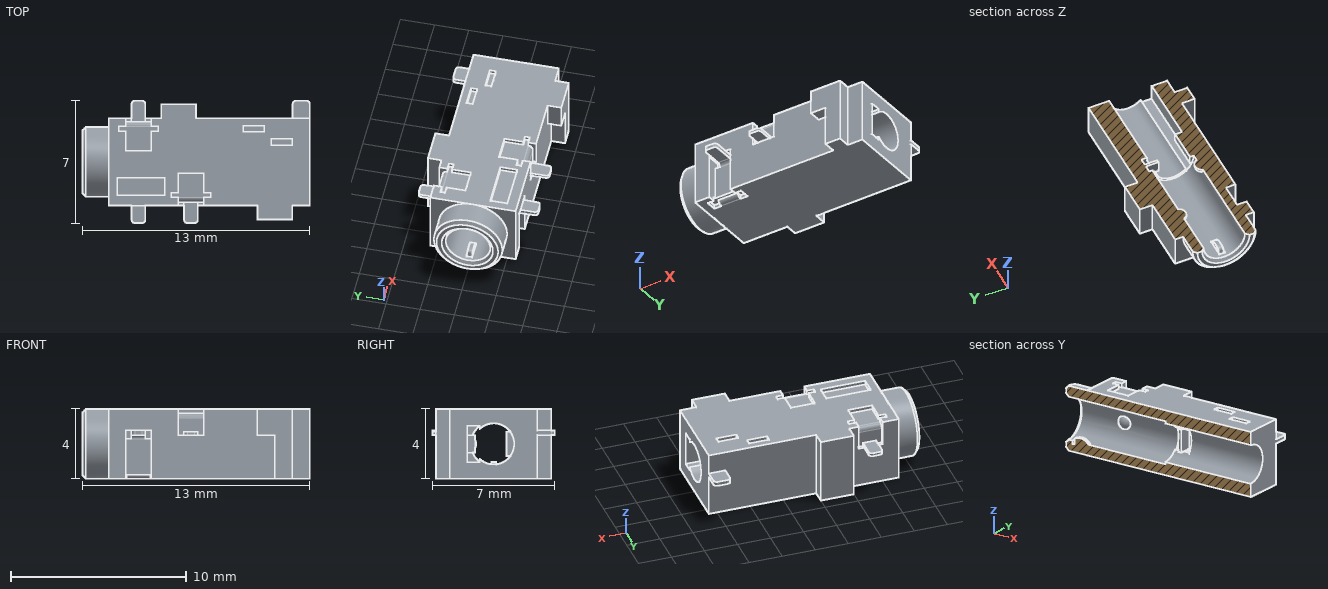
import cadquery as cq


total_length = 13.0
nose_length = 1.5
nose_radius = 2.0
nose_chamfer = 0.2
half_width = 2.5
half_height = 2.0
lug_reach = 3.3
left_lug_start, left_lug_end = 4.5, 6.5
right_lug_start, right_lug_end = 10.0, 12.0
right_lug_step = 1.0
solder_level = 0.5

bore_radius = 1.3
bore_chamfer = 0.2
rear_bore_radius = 1.17
bore_step = 7.0

tab_reach = 3.5
tab_width = 0.8
tab_corner = 0.2
thin_tab = 0.2
thick_tab = 0.27
pocket_width = 1.45
bend_radius = 0.27
sheet_recess = 0.25
upper_plate_y = 2.3
upper_inner_y = 0.65
wing_span = 2.28
front_terminal_x = 3.2
middle_terminal_x = 6.2
lower_plate_y = 1.9
lower_plate_top = 0.3
lower_pocket_y = 1.65
lower_wing_y = 2.03
lower_wing_inner_y = 1.35
foot_width = 1.33
rear_tab_start = 12.0

window = (2.0, -1.9, 2.7, 1.0)
rear_slot_length = 1.2
rear_slot_width = 0.36
rear_slots = [(9.2, 1.71), (10.8, 0.96)]

dome_radius = 0.45
dome_tip_y = 1.0
contact_depth = 1.5
rear_cavity_y = 0.81
rear_cavity_half_height = 1.05
rear_leaf_y = 1.07
rear_leaf_half_height = 0.5
rear_leaf_length = 2.0
stop_cavity_y = 0.95
stop_cavity_half_height = 0.82
stop_cavity_length = 1.0
stop_y = 0.72
stop_half_height = 0.7
stop_offset = 0.4
stop_thickness = 0.2
spring_slot_start = 0.48
spring_slot_width = 0.36
spring_start = 0.6
spring_end = 1.6
spring_width = 0.3
spring_crest_x = 1.0
spring_crest_z = -1.03
spring_nose_radius = 0.2
spring_nose_drop = 0.04
spring_root_z = -1.5


def block(x_range, y_range, z_range):
    """Box between pairs of limits, given in either order."""
    ranges = (x_range, y_range, z_range)
    sizes = [abs(b - a) for a, b in ranges]
    corner = tuple(min(pair) for pair in ranges)
    return cq.Workplane("XY").box(*sizes, centered=False).translate(corner)


def span(center, width):
    return (center - width / 2, center + width / 2)


def x_cylinder(radius, start, end):
    return cq.Workplane("YZ").workplane(offset=start).circle(radius).extrude(end - start)


def housing():
    nose = x_cylinder(nose_radius, 0, nose_length).faces("<X").chamfer(nose_chamfer)
    full_height = (-half_height, half_height)
    body = block((nose_length, total_length), (-half_width, half_width), full_height)
    left_lug = block((left_lug_start, left_lug_end), (0, lug_reach), full_height)
    right_lug = block((right_lug_start, right_lug_end), (-lug_reach, 0), full_height)
    lug_gap = block(
        (right_lug_start, right_lug_start + right_lug_step),
        (-lug_reach, -half_width),
        (-half_height, solder_level),
    )
    return body.union(nose).union(left_lug).union(right_lug.cut(lug_gap))


def bore():
    mouth_radius = bore_radius + bore_chamfer
    profile = [
        (0, 0),
        (0, mouth_radius),
        (bore_chamfer, bore_radius),
        (bore_step, bore_radius),
        (bore_step, rear_bore_radius),
        (total_length, rear_bore_radius),
        (total_length, 0),
    ]
    return cq.Workplane("XY").polyline(profile).close().revolve(360, (0, 0, 0), (1, 0, 0))


def rear_cavity():
    """Open channel beside the bore that runs out through the rear face."""
    return block(
        (bore_step, total_length),
        (-contact_depth, -rear_cavity_y),
        (-rear_cavity_half_height, rear_cavity_half_height),
    )


def stop_cavity():
    return block(
        (bore_step, bore_step + stop_cavity_length),
        (stop_cavity_y, contact_depth),
        (-stop_cavity_half_height, stop_cavity_half_height),
    )


def solder_tab(x_range, inner_y, thickness, side):
    """Flat tab with two rounded outer corners; side is +1 or -1 along Y."""
    tab = block(x_range, (side * inner_y, side * tab_reach), (solder_level, solder_level + thickness))
    outer_face = ">Y" if side > 0 else "<Y"
    return tab.faces(outer_face).edges("|Z").fillet(tab_corner)


def side_prism(outline, x_range):
    """Prism along X from a closed outline drawn in the YZ plane."""
    start, end = x_range
    return outline.close().extrude(end - start).translate((start, 0, 0))


def add_upper_terminal(part, x_center, side):
    """Terminal lying on the top and bent down the side wall to a solder tab."""
    x_range = span(x_center, pocket_width)
    floor_z = half_height - sheet_recess
    bend_y = upper_plate_y - bend_radius
    wing_slot = block(
        span(x_center, wing_span),
        (side * bend_y, side * (bend_y - bend_radius)),
        (floor_z, half_height),
    )
    pocket = (
        cq.Workplane("YZ")
        .moveTo(side * upper_inner_y, half_height)
        .lineTo(side * upper_inner_y, floor_z)
        .lineTo(side * bend_y, floor_z)
        .radiusArc((side * upper_plate_y, floor_z - bend_radius), side * bend_radius)
        .lineTo(side * upper_plate_y, solder_level)
        .lineTo(side * half_width, solder_level)
        .lineTo(side * half_width, half_height)
    )
    tab = solder_tab(span(x_center, tab_width), bend_y, thin_tab, side)
    return part.cut(side_prism(pocket, x_range)).cut(wing_slot).union(tab)


def lower_foot_slot():
    """Wing slot across the underside, with the rounded foot of the terminal standing in it."""
    roof_z = sheet_recess - half_height
    wing_slot = block(
        span(front_terminal_x, wing_span),
        (-lower_wing_y, -lower_wing_inner_y),
        (-half_height, roof_z),
    )
    foot = (
        cq.Workplane("YZ")
        .moveTo(-lower_pocket_y, roof_z)
        .radiusArc((sheet_recess - lower_pocket_y, -half_height), -sheet_recess)
        .lineTo(-lower_wing_inner_y, -half_height)
        .lineTo(-lower_wing_inner_y, roof_z)
    )
    return wing_slot.cut(side_prism(foot, span(front_terminal_x, foot_width)))


def add_lower_terminal(part):
    """Terminal that rises in a side pocket from the underside and bends out to a tab."""
    pocket_top = solder_level + thick_tab
    pocket = (
        cq.Workplane("YZ")
        .moveTo(-half_width, -half_height)
        .lineTo(-lower_plate_y, -half_height)
        .lineTo(-lower_plate_y, lower_plate_top)
        .lineTo(-lower_pocket_y, lower_plate_top)
        .lineTo(-lower_pocket_y, pocket_top)
        .lineTo(-half_width, pocket_top)
    )
    tab_range = span(front_terminal_x, tab_width)
    tab = solder_tab(tab_range, lower_pocket_y, thick_tab, -1)
    fillet_radius = solder_level - lower_plate_top
    root = (
        cq.Workplane("YZ")
        .moveTo(-lower_plate_y, lower_plate_top)
        .radiusArc((-lower_plate_y - fillet_radius, solder_level), -fillet_radius)
        .lineTo(-lower_pocket_y, solder_level)
        .lineTo(-lower_pocket_y, lower_plate_top)
    )
    part = part.cut(side_prism(pocket, span(front_terminal_x, pocket_width))).cut(lower_foot_slot())
    return part.union(tab).union(side_prism(root, tab_range))


def top_opening(x, y, length, width):
    return block((x, x + length), (y, y + width), (half_height - sheet_recess, half_height))


def contact_dome(x, side):
    center_y = side * (dome_tip_y + dome_radius)
    return cq.Workplane("XY").sphere(dome_radius).translate((x, center_y, 0))


def stop_plate():
    start = bore_step + stop_offset
    return block(
        (start, start + stop_thickness),
        (stop_y, contact_depth),
        (-stop_half_height, stop_half_height),
    )


def rear_leaf():
    return block(
        (bore_step, bore_step + rear_leaf_length),
        (-contact_depth, -rear_leaf_y),
        (-rear_leaf_half_height, rear_leaf_half_height),
    )


def spring_slot():
    """Slot in the floor of the bore around the arched contact."""
    return block(
        (spring_slot_start, spring_end),
        span(0, spring_slot_width),
        (spring_root_z, -rear_bore_radius),
    )


def ground_spring():
    """Arched contact with a rounded nose, on the floor of the bore just inside the mouth."""
    nose_end = spring_start + spring_nose_radius
    nose_top_z = spring_crest_z - spring_nose_drop
    outline = (
        cq.Workplane("XZ", origin=(0, spring_width / 2, 0))
        .moveTo(spring_start, spring_root_z)
        .lineTo(spring_start, nose_top_z - spring_nose_radius)
        .radiusArc((nose_end, nose_top_z), spring_nose_radius)
        .threePointArc((spring_crest_x, spring_crest_z), (spring_end, -bore_radius))
        .lineTo(spring_end, spring_root_z)
    )
    return outline.close().extrude(spring_width)


result = housing().cut(bore()).cut(rear_cavity()).cut(stop_cavity()).cut(spring_slot())

result = add_upper_terminal(result, front_terminal_x, 1)
result = add_upper_terminal(result, middle_terminal_x, -1)
result = add_lower_terminal(result)
rear_tab_range = (rear_tab_start, total_length)
result = result.union(solder_tab(rear_tab_range, upper_plate_y, thick_tab, 1))

result = result.cut(top_opening(*window))
for slot_x, slot_y in rear_slots:
    result = result.cut(top_opening(slot_x, slot_y, rear_slot_length, rear_slot_width))

result = result.union(contact_dome(front_terminal_x, 1))
result = result.union(contact_dome(middle_terminal_x, -1))
result = result.union(stop_plate()).union(rear_leaf()).union(ground_spring())